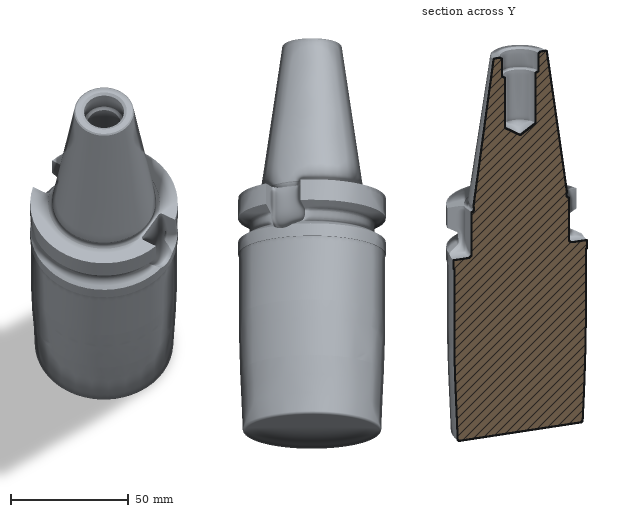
import cadquery as cq
import math

total_height = 170.4
gauge_height = 105.0
flange_top = 103.0
flange_bottom = 78.0
body_cylinder_bottom = 50.0
nose_cone_top = 25.5

taper_slope = 7 / 48
gauge_radius = 22.2
shank_end_radius = gauge_radius - taper_slope * (total_height - gauge_height)
shank_end_chamfer = 0.5
neck_radius = 22.0
neck_chamfer_height = 0.3
neck_fillet = 0.9
relief_radius = 23.9
relief_depth = 0.3
relief_floor = flange_top - relief_depth

flange_radius = 31.5
groove_upper_edge = 93.9
groove_lower_edge = 83.5
groove_floor_radius = 26.5
groove_wall_angle = math.radians(30)
groove_wall_rise = (flange_radius - groove_floor_radius) * math.tan(groove_wall_angle)
groove_corner_radius = 1.0

body_radius = 31.2
nose_angle = math.radians(2.5)
blend_height = body_cylinder_bottom - nose_cone_top
blend_radius = blend_height / math.sin(nose_angle)
nose_cone_radius = body_radius - blend_radius * (1 - math.cos(nose_angle))
nose_radius = nose_cone_radius - nose_cone_top * math.tan(nose_angle)
nose_fillet = 1.0

slot_width = 16.0
slot_floor_distance = 23.0
slot_arc_height = 90.1
slot_floor_fillet = 1.5

bore_radius = 8.5
bore_mouth_radius = 9.7
bore_mouth_depth = 0.7
bore_depth = 8.7
pilot_radius = 7.2
pilot_seat_depth = 9.4
pilot_depth = 32.0
drill_tip_angle = math.radians(59)


def make_body():
    """Revolve the outer profile around Z."""
    half_angle = nose_angle / 2
    blend_middle = (
        body_radius - blend_radius * (1 - math.cos(half_angle)),
        body_cylinder_bottom - blend_radius * math.sin(half_angle),
    )
    profile = (
        cq.Workplane("XZ")
        .lineTo(nose_radius, 0)
        .lineTo(nose_cone_radius, nose_cone_top)
        .threePointArc(blend_middle, (body_radius, body_cylinder_bottom))
        .lineTo(body_radius, flange_bottom)
        .lineTo(flange_radius, flange_bottom)
        .lineTo(flange_radius, groove_lower_edge)
        .lineTo(groove_floor_radius, groove_lower_edge + groove_wall_rise)
        .lineTo(groove_floor_radius, groove_upper_edge - groove_wall_rise)
        .lineTo(flange_radius, groove_upper_edge)
        .lineTo(flange_radius, flange_top)
        .lineTo(relief_radius, flange_top)
        .lineTo(relief_radius, relief_floor)
        .lineTo(neck_radius + neck_fillet, relief_floor)
        .radiusArc((neck_radius, relief_floor + neck_fillet), neck_fillet)
        .lineTo(neck_radius, gauge_height - neck_chamfer_height)
        .lineTo(gauge_radius, gauge_height)
        .lineTo(shank_end_radius, total_height)
        .lineTo(0, total_height)
        .close()
    )
    body = profile.revolve(360, (0, 0, 0), (0, 1, 0))
    body = body.faces(">Z").edges().chamfer(shank_end_chamfer)
    body = body.faces("<Z").edges().fillet(nose_fillet)
    return body.edges(cq.selectors.BoxSelector(
        (-flange_radius, -flange_radius, groove_lower_edge + groove_wall_rise / 2),
        (flange_radius, flange_radius, groove_upper_edge - groove_wall_rise / 2),
    )).edges("%CIRCLE").fillet(groove_corner_radius)


def make_slot_cutter(side):
    """Round-ended slot, open at the top, on the +X (side=1) or -X (side=-1) side."""
    half_width = slot_width / 2
    cutter_top = total_height
    cutter = (
        cq.Workplane("YZ")
        .moveTo(-half_width, cutter_top)
        .lineTo(-half_width, slot_arc_height)
        .threePointArc((0, slot_arc_height - half_width), (half_width, slot_arc_height))
        .lineTo(half_width, cutter_top)
        .close()
        .extrude(side * flange_radius)
        .translate((side * slot_floor_distance, 0, 0))
    )
    floor_face = "<X" if side > 0 else ">X"
    return cutter.faces(floor_face).edges("not >Z").fillet(slot_floor_fillet)


def make_bore_cutter():
    """Revolved cutter for the chamfered, stepped bore with a drilled end."""
    return (
        cq.Workplane("XZ", origin=(0, 0, total_height))
        .lineTo(bore_mouth_radius, 0)
        .lineTo(bore_radius, -bore_mouth_depth)
        .lineTo(bore_radius, -bore_depth)
        .lineTo(pilot_radius, -pilot_seat_depth)
        .lineTo(pilot_radius, -pilot_depth)
        .lineTo(0, -pilot_depth - pilot_radius / math.tan(drill_tip_angle))
        .close()
        .revolve(360, (0, 0, 0), (0, 1, 0))
    )


result = make_body().cut(make_bore_cutter())
for slot_side in (-1, 1):
    result = result.cut(make_slot_cutter(slot_side))